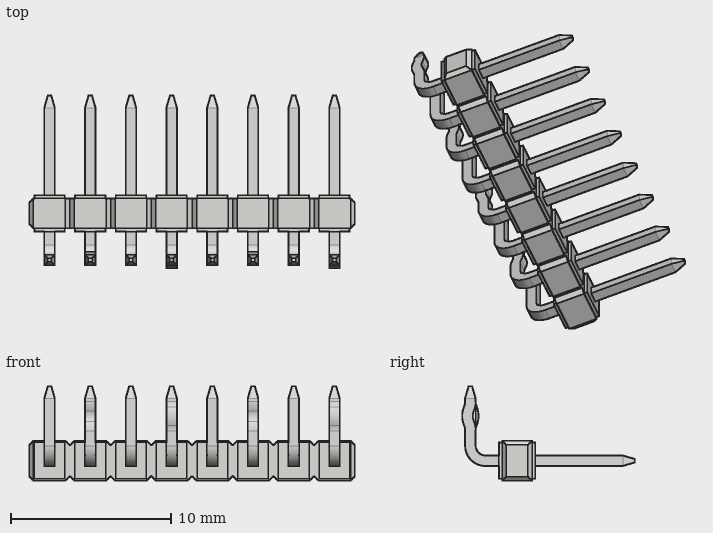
import cadquery as cq
import math

body_length = 20.32
overall_depth = 10.8
overall_height = 5.91
pin_count = 8
pitch = body_length / pin_count

body_depth = 1.87
body_height = 2.5
end_chamfer = 0.26
notch_depth = 0.28
pad_width = 1.9
pad_height = 2.28
pad_thickness = 0.2

pin_size = 0.67
half_pin = pin_size / 2
kink_offset = 0.18
tip_size = 0.22
tip_length = 0.77
rear_tip_y = 7.35
leg_y = rear_tip_y - overall_depth + kink_offset + half_pin
leg_top_z = overall_height - body_height / 2
bend_inner_radius = 0.6
bend_radius = bend_inner_radius + half_pin

kink_half_length = 0.91
kink_below_tip = 1.87
kink_center_z = leg_top_z - kink_below_tip
kink_angle = 2 * math.atan(kink_offset / kink_half_length)
kink_radius = kink_half_length / (2 * math.sin(kink_angle))
kink_pattern = (0, 1, 0, -1)


def make_body():
    """Bar with V notches across its top and bottom, midway between pins."""
    body = cq.Workplane("XY").box(body_length, body_depth, body_height)
    body = body.faces("<X or >X").edges().chamfer(end_chamfer)
    notch_side = notch_depth * math.sqrt(2)
    for i in range(1, pin_count):
        for z in (-body_height / 2, body_height / 2):
            notch = (
                cq.Workplane("XY")
                .box(notch_side, body_depth, notch_side)
                .rotate((0, 0, 0), (0, 1, 0), 45)
                .translate((i * pitch - body_length / 2, 0, z))
            )
            body = body.cut(notch)
    return body


def make_pads(x):
    """Block through the bar that stands proud of its front and rear faces."""
    depth = body_depth + 2 * pad_thickness
    return cq.Workplane("XY").box(pad_width, depth, pad_height).translate((x, 0, 0))


def make_tip(base_plane):
    """Blunt four-sided point."""
    return (
        cq.Workplane(base_plane)
        .rect(pin_size, pin_size)
        .workplane(offset=tip_length)
        .rect(tip_size, tip_size)
        .loft(ruled=True)
    )


def add_kink(path, direction):
    """Continue a vertical leg path upward through the bow, in (Y, Z) coordinates."""
    crest_y = leg_y + direction * kink_offset
    start_z = kink_center_z - kink_half_length
    end_z = kink_center_z + kink_half_length
    inflection_y = (leg_y + crest_y) / 2
    inflection_rise = kink_radius * math.sin(kink_angle)
    arc_mid_rise = kink_radius * math.sin(kink_angle / 2)
    arc_mid_shift = direction * kink_radius * (1 - math.cos(kink_angle / 2))
    return (
        path.lineTo(leg_y, start_z)
        .threePointArc(
            (leg_y + arc_mid_shift, start_z + arc_mid_rise),
            (inflection_y, kink_center_z - inflection_rise),
        )
        .threePointArc((crest_y, kink_center_z), (inflection_y, kink_center_z + inflection_rise))
        .threePointArc((leg_y + arc_mid_shift, end_z - arc_mid_rise), (leg_y, end_z))
    )


def make_pin(x, direction):
    """Bent square wire with a point at both ends."""
    shaft_rear_y = rear_tip_y - tip_length
    shaft_top_z = leg_top_z - tip_length
    bend_start_y = leg_y + bend_radius
    bend_mid = bend_radius * (1 - math.sqrt(0.5))
    path = (
        cq.Workplane("YZ")
        .moveTo(shaft_rear_y, 0)
        .lineTo(bend_start_y, 0)
        .threePointArc((leg_y + bend_mid, bend_mid), (leg_y, bend_radius))
    )
    if direction:
        path = add_kink(path, direction)
    path = path.lineTo(leg_y, shaft_top_z)

    rear_plane = cq.Plane(origin=(0, shaft_rear_y, 0), xDir=(1, 0, 0), normal=(0, 1, 0))
    top_plane = cq.Plane(origin=(0, leg_y, shaft_top_z), xDir=(1, 0, 0), normal=(0, 0, 1))
    shaft = cq.Workplane(rear_plane).rect(pin_size, pin_size).sweep(path)
    pin = shaft.union(make_tip(rear_plane)).union(make_tip(top_plane))
    return pin.translate((x, 0, 0))


result = make_body()
for i in range(pin_count):
    pin_x = (i + 0.5) * pitch - body_length / 2
    result = result.union(make_pads(pin_x))
    result = result.union(make_pin(pin_x, kink_pattern[i % len(kink_pattern)]))